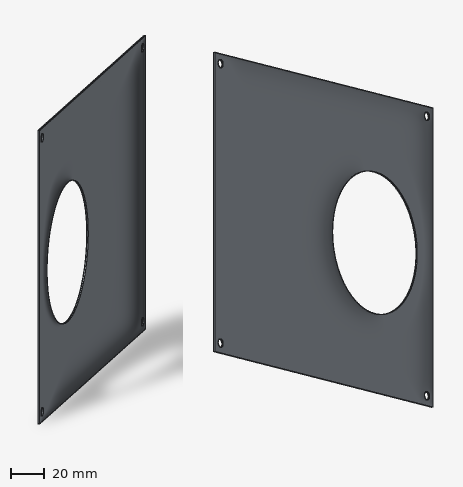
import cadquery as cq

thickness = 1.0
length = 220.0
height = 180.0

mount_diameter = 5.0
mount_edge_distance = 6.0

opening_diameter = 85.4
opening_center_y = -51.5


def through_holes(diameter, centers):
    """Cylinders along X that pass through the plate at the given (Y, Z) centers."""
    return cq.Workplane("YZ").pushPoints(centers).circle(diameter / 2).extrude(thickness, both=True)


mount_y = length / 2 - mount_edge_distance
mount_z = height / 2 - mount_edge_distance
mount_centers = [(side_y * mount_y, side_z * mount_z) for side_y in (-1, 1) for side_z in (-1, 1)]

plate = cq.Workplane("XY").box(thickness, length, height)
plate = plate.cut(through_holes(mount_diameter, mount_centers))
plate = plate.cut(through_holes(opening_diameter, [(opening_center_y, 0)]))

result = plate